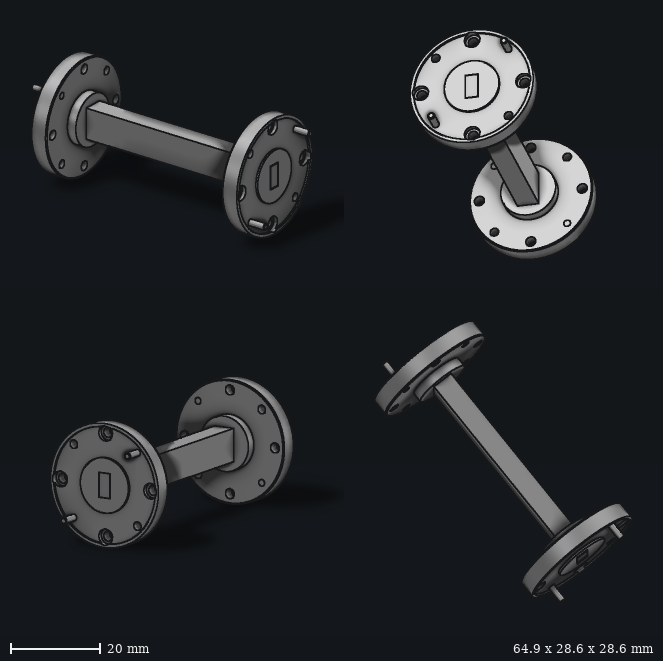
import cadquery as cq
import math

overall_length = 64.9
pin_projection = 3.8
flange_face_x = overall_length / 2 - pin_projection

flange_diameter = 28.55
flange_thickness = 4.15
flange_back_chamfer = 0.25
hub_diameter = 12.7
hub_length = 2.35

tube_width = 4.9
tube_height = 7.65

relief_outer_diameter = 26.9
relief_inner_diameter = hub_diameter
relief_depth = 0.5
opening_width = 2.9
opening_height = 5.7
opening_depth = 0.2

hole_circle_diameter = 23.8
screw_hole_count = 4
screw_hole_diameter = 2.3
counterbore_diameter = 3.6
counterbore_depth = 1.55
socket_diameter = 1.95

pin_diameter = 1.55
pin_tip_chamfer = 0.2
pin_length = flange_thickness + pin_projection

pin_angles = [45, 225]
socket_angles = [135, 315]
screw_angles = [i * 360 / screw_hole_count for i in range(screw_hole_count)]


def hole_circle_points(angles):
    """(Y, Z) places on the hole circle."""
    radius = hole_circle_diameter / 2
    return [
        (radius * math.cos(math.radians(a)), radius * math.sin(math.radians(a)))
        for a in angles
    ]


def plane_at(x):
    """Plane across the waveguide whose local x and y are world Y and Z."""
    return cq.Workplane("YZ", origin=(x, 0, 0))


def turn_to_left(shape):
    """Turn a right-end shape half a turn about Z, onto the left end."""
    return shape.rotate((0, 0, 0), (0, 0, 1), 180)


def make_right_flange():
    """Right flange with its hub, mating face at flange_face_x."""
    back_x = flange_face_x - flange_thickness
    disc = plane_at(back_x).circle(flange_diameter / 2).extrude(flange_thickness)
    disc = disc.faces("<X").chamfer(flange_back_chamfer)
    hub = plane_at(back_x).circle(hub_diameter / 2).extrude(-hub_length)

    relief = (
        plane_at(flange_face_x)
        .circle(relief_outer_diameter / 2)
        .circle(relief_inner_diameter / 2)
        .extrude(-relief_depth)
    )
    opening = plane_at(flange_face_x).rect(opening_width, opening_height).extrude(-opening_depth)

    screw_points = hole_circle_points(screw_angles)
    screw_holes = (
        plane_at(flange_face_x)
        .pushPoints(screw_points)
        .circle(screw_hole_diameter / 2)
        .extrude(-flange_thickness)
    )
    counterbores = (
        plane_at(flange_face_x)
        .pushPoints(screw_points)
        .circle(counterbore_diameter / 2)
        .extrude(-counterbore_depth)
    )
    sockets = (
        plane_at(flange_face_x)
        .pushPoints(hole_circle_points(socket_angles))
        .circle(socket_diameter / 2)
        .extrude(-flange_thickness)
    )
    pin_holes = (
        plane_at(flange_face_x)
        .pushPoints(hole_circle_points(pin_angles))
        .circle(pin_diameter / 2)
        .extrude(-flange_thickness)
    )

    flange = disc.union(hub)
    for cutter in (relief, opening, screw_holes, counterbores, sockets, pin_holes):
        flange = flange.cut(cutter)
    return flange


def make_waveguide():
    """Tube and both flanges as one solid."""
    hub_face_x = flange_face_x - flange_thickness - hub_length
    tube = cq.Workplane("XY").box(2 * hub_face_x, tube_width, tube_height)
    right_flange = make_right_flange()
    return tube.union(right_flange).union(turn_to_left(right_flange))


def make_right_pin(y, z):
    """Pin flush with the back of the right flange, chamfered at its tip."""
    pin = (
        plane_at(overall_length / 2 - pin_length)
        .center(y, z)
        .circle(pin_diameter / 2)
        .extrude(pin_length)
    )
    return pin.faces(">X").chamfer(pin_tip_chamfer)


waveguide = make_waveguide()

pins = []
for y, z in hole_circle_points(pin_angles):
    right_pin = make_right_pin(y, z)
    pins.append(right_pin.val())
    pins.append(turn_to_left(right_pin).val())

result = cq.Compound.makeCompound([waveguide.val(), *pins])